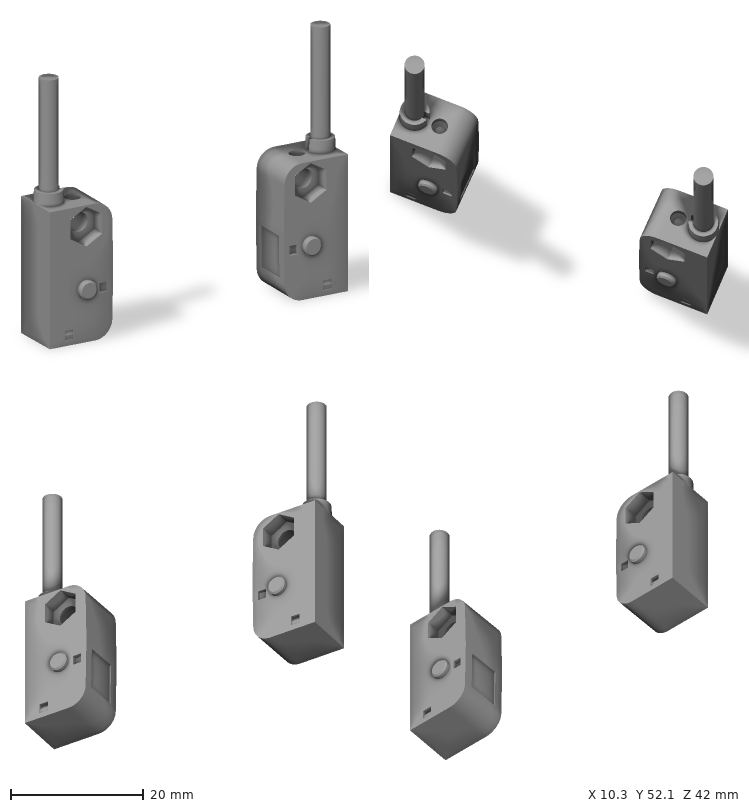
import cadquery as cq
import math


span_y = 52.1
total_height = 42.0
back_y = span_y / 2

housing_width = 8.5
housing_depth = 11.2
housing_height = 22.0
corner_radius = 3.0
front_bulge = 0.15
front_ridge_z = 11.25
back_taper = 0.15
front_y = back_y - housing_depth
half_width = housing_width / 2

feature_y = back_y - 6.5
cross_hole_z = housing_height - 3.45
cross_hole_diameter = 3.2
hex_across_flats = 5.5
hex_depth = 2.4

pin_diameter = 3.0
pin_tip_to_tip = 10.3
pin_chamfer = 0.25
pin_z = housing_height - 13.45

cable_diameter = 3.0
cable_y = back_y - 2.4
boot_bottom_diameter = 4.7
boot_top_diameter = 4.5
boot_height = 2.05
boot_slot_width = 1.05

top_hole_diameter = 2.5
top_hole_bore_depth = 0.95
top_hole_cone_depth = 0.75
top_hole_floor_diameter = 1.3

window_width = 5.4
window_height = 6.9
window_depth = 0.25
window_bottom_z = 3.55

notch_width = 1.55
notch_deep = 0.75
front_notch_length = 1.4
front_notch_flat = 0.35
front_notch_shallow = 0.4
front_notch_y = front_y + 1.7
front_notch_z = pin_z - 0.25
lower_notch_length = 1.55
lower_notch_ramp = 0.85
lower_notch_shallow = 0.2
lower_notch_y = back_y - 3.55
lower_notch_z = 1.65


def make_housing():
    shoulder_y = front_y + front_bulge
    arc_y = shoulder_y + corner_radius
    arc_inset = corner_radius * (1 - math.sqrt(0.5))
    profile = (
        cq.Workplane("YZ", origin=(-half_width, 0, 0))
        .moveTo(back_y, 0)
        .lineTo(back_y, housing_height)
        .lineTo(arc_y, housing_height)
        .threePointArc(
            (shoulder_y + arc_inset, housing_height - arc_inset),
            (shoulder_y, housing_height - corner_radius),
        )
        .lineTo(front_y, front_ridge_z)
        .lineTo(shoulder_y, corner_radius)
        .threePointArc((shoulder_y + arc_inset, arc_inset), (arc_y, 0))
        .close()
    )
    back_wedge = (
        cq.Workplane("XY")
        .polyline([(half_width, back_y), (-half_width, back_y), (-half_width, back_y - back_taper)])
        .close()
        .extrude(housing_height)
    )
    return profile.extrude(housing_width).cut(back_wedge)


def make_pins():
    return (
        cq.Workplane("YZ", origin=(-pin_tip_to_tip / 2, feature_y, pin_z))
        .circle(pin_diameter / 2)
        .extrude(pin_tip_to_tip)
        .edges()
        .chamfer(pin_chamfer)
    )


def make_boot():
    boot = (
        cq.Workplane("XY", origin=(0, cable_y, housing_height))
        .circle(boot_bottom_diameter / 2)
        .workplane(offset=boot_height)
        .circle(boot_top_diameter / 2)
        .loft()
    )
    slot = (
        cq.Workplane("XY", origin=(0, cable_y - boot_bottom_diameter / 2, housing_height))
        .rect(boot_slot_width, boot_bottom_diameter)
        .extrude(boot_height)
    )
    return boot.cut(slot)


def make_cable():
    return (
        cq.Workplane("XY", origin=(0, cable_y, housing_height))
        .circle(cable_diameter / 2)
        .extrude(total_height - housing_height)
    )


def make_cross_hole():
    hole = (
        cq.Workplane("YZ", origin=(-half_width, feature_y, cross_hole_z))
        .circle(cross_hole_diameter / 2)
        .extrude(housing_width)
    )
    hex_corner_diameter = hex_across_flats / math.cos(math.pi / 6)
    for start_x in (-half_width, half_width - hex_depth):
        pocket = (
            cq.Workplane("YZ", origin=(start_x, feature_y, cross_hole_z))
            .transformed(rotate=(0, 0, 90))
            .polygon(6, hex_corner_diameter)
            .extrude(hex_depth)
        )
        hole = hole.union(pocket)
    return hole


def make_top_hole():
    bore = (
        cq.Workplane("XY", origin=(0, feature_y, housing_height))
        .circle(top_hole_diameter / 2)
        .extrude(-top_hole_bore_depth)
    )
    cone = (
        cq.Workplane("XY", origin=(0, feature_y, housing_height - top_hole_bore_depth))
        .circle(top_hole_diameter / 2)
        .workplane(offset=-top_hole_cone_depth)
        .circle(top_hole_floor_diameter / 2)
        .loft()
    )
    return bore.union(cone)


def make_window():
    mean_front_y = front_y + front_bulge / 2
    return (
        cq.Workplane("XY", origin=(0, mean_front_y, window_bottom_z))
        .rect(window_width, 2 * window_depth)
        .extrude(window_height)
    )


def make_notch(length, knee, knee_depth, shallow):
    """Notch in the -X side, centred on Y = Z = 0, deep at its +Y end and shallow at its -Y end.

    The floor bends once, at a distance knee from the deep end.
    """
    deep_end = length / 2
    return (
        cq.Workplane("XY", origin=(-half_width, 0, -notch_width / 2))
        .moveTo(0, deep_end)
        .lineTo(notch_deep, deep_end)
        .lineTo(knee_depth, deep_end - knee)
        .lineTo(shallow, -deep_end)
        .lineTo(0, -deep_end)
        .close()
        .extrude(notch_width)
    )


def make_notches():
    front_notch = make_notch(
        front_notch_length, front_notch_flat, notch_deep, front_notch_shallow
    ).translate((0, front_notch_y, front_notch_z))
    lower_notch = (
        make_notch(lower_notch_length, lower_notch_ramp, lower_notch_shallow, lower_notch_shallow)
        .rotate((0, 0, 0), (1, 0, 0), 90)
        .translate((0, lower_notch_y, lower_notch_z))
    )
    one_side = front_notch.union(lower_notch)
    return one_side.union(one_side.mirror("YZ"))


def make_sensor(turn):
    sensor = make_housing().union(make_pins()).union(make_boot()).union(make_cable())
    for cutter in (make_cross_hole(), make_top_hole(), make_window(), make_notches()):
        sensor = sensor.cut(cutter)
    return sensor.rotate((0, 0, 0), (0, 0, 1), turn)


sensors = [make_sensor(turn).val() for turn in (0, 180)]
result = cq.Compound.makeCompound(sensors)